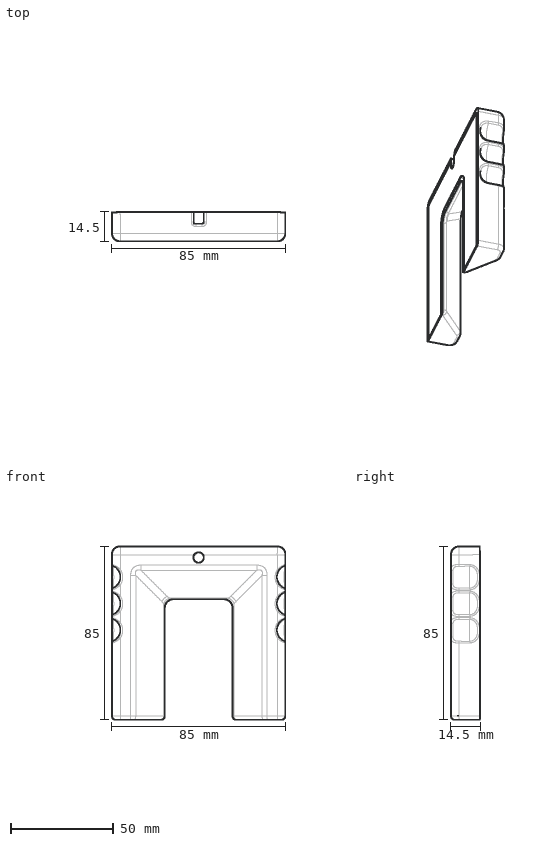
import cadquery as cq
import math

width = 85.0
height = 85.0
housing_depth = 14.2
draft_angle = 0.2
outer_radius = 4.0
bottom_radius = 2.0

frame_width_back = 26.0
frame_width_front = 10.5
lip_depth = 1.4
valley_radius = 4.0
rim_radius = 4.0
lip_radius = 2.0

scallop_count = 3
scallop_pitch = 13.0
first_scallop_drop = 15.0
scallop_radius = 5.8
scallop_offset = 1.6
scallop_length = 13.0
scallop_end_radius = 4.0
scallop_rim_radius = 1.0

hole_diameter = 5.0
hole_drop = 5.5
slot_width = hole_diameter
slot_floor_y = 8.6
slot_rim_radius = 1.2
slot_corner_radius = 1.0

pad_thickness = 0.3
pad_inset = 2.5
pad_bottom_gap = 0.5
pad_outer_radius = outer_radius - pad_inset
pad_inner_radius = valley_radius + pad_inset

half_width = width / 2
hole_z = height - hole_drop
total_depth = housing_depth + pad_thickness
overrun = 5.0
edge_tolerance = 0.01


def front_plane(y):
    """Plane at depth y with local axes X and Z; a negative extrusion goes towards the back."""
    return cq.Workplane("XZ", origin=(0, y, 0))


def edges_near(x_range, y_range, z_range):
    """Selector for the edges whose centre lies within the given ranges."""
    low, high = zip(x_range, y_range, z_range)
    return cq.selectors.BoxSelector(low, high)


def make_block():
    """Solid block with drafted sides and top, a square bottom and rounded upper corners."""
    lean = housing_depth * math.tan(math.radians(draft_angle))
    half_front = half_width - lean
    block = (
        front_plane(0)
        .polyline([(-half_front, 0), (half_front, 0), (half_front, height - lean), (-half_front, height - lean)])
        .close()
        .workplane(offset=-housing_depth)
        .polyline([(-half_width, 0), (half_width, 0), (half_width, height), (-half_width, height)])
        .close()
        .loft(ruled=True)
    )
    upper_corners = edges_near((-width, width), (1, housing_depth - 1), (height - 1, height))
    upper_corners = upper_corners - edges_near((-1, 1), (0, housing_depth), (0, height))
    return block.edges(upper_corners).fillet(outer_radius)


def make_opening():
    """Cutter for the opening: a flare in front, a straight lip behind, inner corners rounded."""
    lip_y = housing_depth - lip_depth
    back_y = housing_depth + overrun
    flare_slope = (frame_width_back - frame_width_front) / lip_y
    wall_ahead = frame_width_front - flare_slope * overrun
    wall_path = [(wall_ahead, -overrun), (frame_width_back, lip_y), (frame_width_back, back_y)]

    right_wall = [(half_width - wall, y) for wall, y in wall_path]
    left_wall = [(-x, y) for x, y in reversed(right_wall)]
    between_legs = (
        cq.Workplane("XY", origin=(0, 0, -overrun))
        .polyline(right_wall + left_wall)
        .close()
        .extrude(height + 2 * overrun)
    )
    upper_wall = [(y, height - wall) for wall, y in wall_path]
    below_bar = (
        cq.Workplane("YZ", origin=(-half_width, 0, 0))
        .polyline(upper_wall + [(back_y, -overrun), (-overrun, -overrun)])
        .close()
        .extrude(width)
    )
    opening = between_legs.intersect(below_bar)

    lip_edges = edges_near(
        (-width, width), (lip_y - edge_tolerance, lip_y + edge_tolerance), (0, height))
    opening = opening.edges(lip_edges).fillet(lip_radius)
    corner_z = (height - frame_width_back - 1, 2 * height)
    valleys = edges_near((1, width), (-overrun, back_y), corner_z)
    valleys = valleys + edges_near((-width, -1), (-overrun, back_y), corner_z)
    return opening.edges(valleys).fillet(valley_radius)


def round_front_and_bottom(body):
    """Round the outer front edge, the rim of the flare and the ends of the legs."""
    on_front = (-edge_tolerance, edge_tolerance)
    above_bottom = (1, height)
    rim_half = half_width - frame_width_front + 1
    rim = edges_near((-rim_half, rim_half), on_front, (1, height - frame_width_front + 1))
    outer = edges_near((-width, width), on_front, above_bottom) - rim
    body = body.edges(outer).fillet(outer_radius)
    body = body.edges(rim).fillet(rim_radius)
    leg_ends = edges_near(
        (-width, width), (-edge_tolerance, housing_depth - edge_tolerance), (-edge_tolerance, edge_tolerance))
    return body.edges(leg_ends).fillet(bottom_radius)


def make_scallop(side, z):
    """Cutter for one finger scallop: a cylinder along Y with a domed back end."""
    axis_x = side * (half_width + scallop_offset)
    return (
        cq.Workplane("XZ", origin=(axis_x, -overrun, z))
        .circle(scallop_radius)
        .extrude(-(overrun + scallop_length))
        .faces(">Y").edges()
        .fillet(scallop_end_radius)
    )


def cut_scallop(body, side, z):
    """Cut one scallop and round its rim, the nearby edges that still lie on the housing skin."""
    skin = body.solids().val().Shells()[0]
    cut_body = body.cut(make_scallop(side, z))
    x_range = sorted([side * (half_width - scallop_radius), side * (half_width + edge_tolerance)])
    near_scallop = edges_near(
        x_range, (-edge_tolerance, scallop_length), (z - scallop_radius, z + scallop_radius))

    def on_skin(edge):
        middle = cq.Vertex.makeVertex(*edge.positionAt(0.5).toTuple())
        return skin.distance(middle) < edge_tolerance

    rim = [edge for edge in cut_body.edges(near_scallop).vals() if on_skin(edge)]
    return cut_body.newObject(rim).fillet(scallop_rim_radius)


def make_slot():
    """Cutter for the cord slot: open at the top and back, with a round bottom around the hole axis."""
    slot_length = total_depth + overrun - slot_floor_y
    round_bottom = front_plane(slot_floor_y).center(0, hole_z).circle(slot_width / 2).extrude(-slot_length)
    open_top = (
        front_plane(slot_floor_y)
        .center(0, hole_z)
        .rect(slot_width, 2 * (hole_drop + overrun))
        .extrude(-slot_length)
        .edges("|Z and <Y")
        .fillet(slot_corner_radius)
        .intersect(cq.Workplane("XY", origin=(0, 0, hole_z)).rect(width, width).extrude(height))
    )
    return round_bottom.union(open_top)


def make_housing():
    body = make_block().cut(make_opening())
    body = round_front_and_bottom(body)
    for side in (-1, 1):
        for i in range(scallop_count):
            body = cut_scallop(body, side, height - first_scallop_drop - i * scallop_pitch)
    hole = front_plane(-overrun).center(0, hole_z).circle(hole_diameter / 2).extrude(-(housing_depth + overrun))
    body = body.cut(hole).cut(make_slot())
    slot_rim = edges_near(
        (-slot_width, slot_width), (slot_floor_y - 1, housing_depth - 1), (height - 1, height))
    return body.edges(slot_rim).fillet(slot_rim_radius)


def make_pad():
    """Thin U-shaped pad lying on the back face, slotted like the housing."""
    outer_x = half_width - pad_inset
    inner_x = half_width - frame_width_back + pad_inset
    outer_z = height - pad_inset
    inner_z = height - frame_width_back + pad_inset
    pad = (
        front_plane(housing_depth)
        .polyline([
            (-outer_x, pad_bottom_gap), (-outer_x, outer_z), (outer_x, outer_z), (outer_x, pad_bottom_gap),
            (inner_x, pad_bottom_gap), (inner_x, inner_z), (-inner_x, inner_z), (-inner_x, pad_bottom_gap),
        ])
        .close()
        .extrude(-pad_thickness)
    )
    in_depth = (housing_depth, total_depth)
    outer_corners = edges_near((-width, width), in_depth, (outer_z - 1, outer_z + 1))
    inner_corners = edges_near((-width, width), in_depth, (inner_z - 1, inner_z + 1))
    pad = pad.edges("|Y").edges(outer_corners).fillet(pad_outer_radius)
    pad = pad.edges("|Y").edges(inner_corners).fillet(pad_inner_radius)
    return pad.cut(make_slot())


housing = make_housing()
pad = make_pad()

result = cq.Compound.makeCompound([housing.solids().val(), pad.solids().val()])